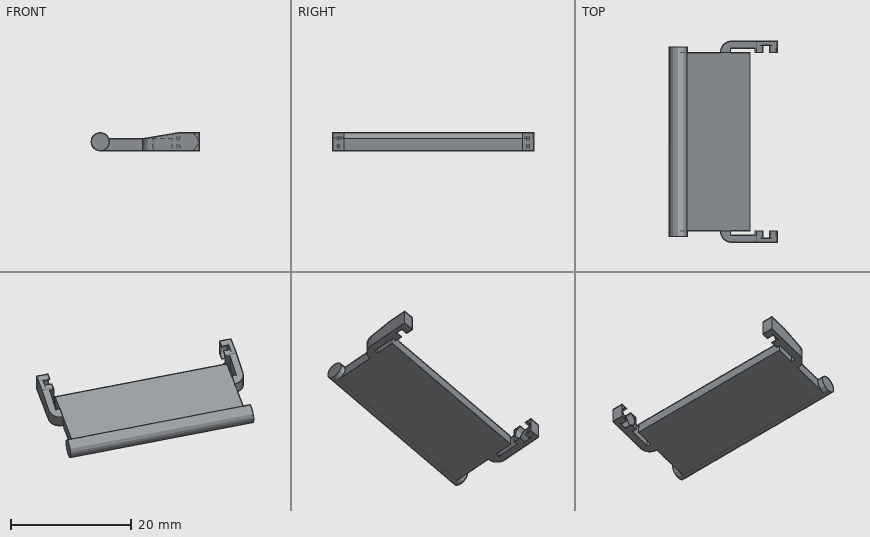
import cadquery as cq

length = 18.0
width = 33.5
height = 3.0

rod_radius = height / 2
rod_length = 31.55

plate_end = 13.47
plate_thickness = 2.0
plate_width = 29.6

arm_start = 8.5
arm_reach = (width - plate_width) / 2
arm_thickness = 1.2
arm_root_end = 10.22
head_start = 14.25
slope_end = 14.55

socket_radius = 1.6
socket_center = 16.15
socket_floor = 0.75


def make_rod():
    return (
        cq.Workplane("XZ")
        .center(rod_radius, rod_radius)
        .circle(rod_radius)
        .extrude(rod_length / 2, both=True)
    )


def make_plate():
    return cq.Workplane("XY").box(
        plate_end - rod_radius, plate_width, plate_thickness, centered=(False, True, False)
    ).translate((rod_radius, 0, 0))


def make_arm():
    """Arm on the +Y side: root, rounded corner, thin beam and socketed head."""
    inner = plate_width / 2
    outer = width / 2
    beam_inner = outer - arm_thickness
    plan = (
        cq.Workplane("XY")
        .moveTo(arm_start, inner)
        .radiusArc((arm_start + arm_reach, outer), arm_reach)
        .lineTo(length, outer)
        .lineTo(length, inner)
        .lineTo(head_start, inner)
        .lineTo(head_start, beam_inner)
        .lineTo(arm_root_end, beam_inner)
        .lineTo(arm_root_end, inner)
        .close()
        .extrude(height)
    )
    side_profile = (
        cq.Workplane("XZ")
        .polyline([
            (arm_start, 0),
            (length, 0),
            (length, height),
            (slope_end, height),
            (arm_start, plate_thickness),
        ])
        .close()
        .extrude(-outer)
    )
    socket = (
        cq.Workplane("XZ")
        .center(socket_center, height / 2)
        .circle(socket_radius)
        .extrude(-(outer - socket_floor))
    )
    return plan.intersect(side_profile).cut(socket)


arm = make_arm()
result = make_rod().union(make_plate()).union(arm).union(arm.mirror("XZ"))